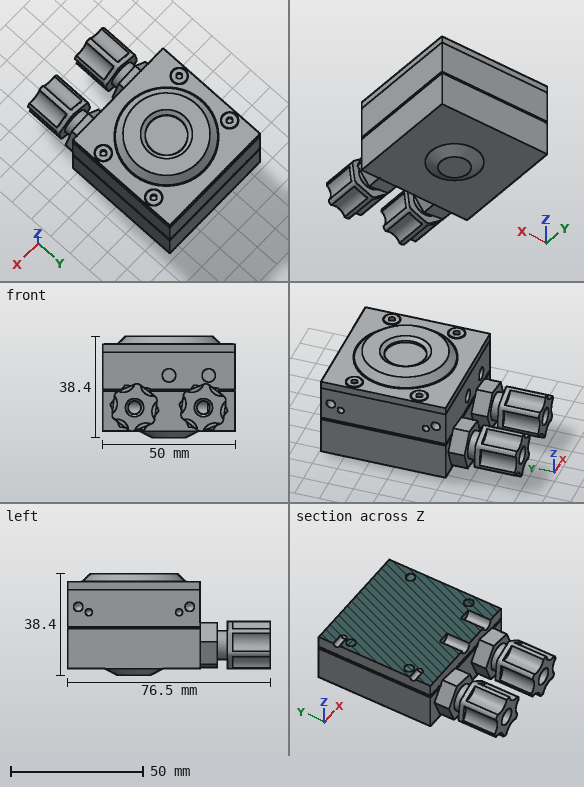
import cadquery as cq
import math

overall_length = 76.5
block_side = 50.0
lower_height = 15.75
upper_height = 14.1
plate_thickness = 3.0
upper_base = lower_height
plate_base = upper_base + upper_height
plate_top = plate_base + plate_thickness
front_face = -block_side / 2
left_face = -block_side / 2

parting_chamfer = 0.45
parting_neck_height = 0.2
nose_base_radius = 11.1
nose_tip_radius = 6.3
nose_height = 2.5
channel_radius = 2.5
channel_left_end = -15.45
channel_length = 30.1

port_radius = 2.5
port_depth = 9.95
port_places = (0, 15.0)
port_height = 21.0
large_side_hole_radius = 1.75
large_side_hole_depth = 6.9
large_side_hole_offset = 21.0
large_side_hole_height = 23.3
small_side_hole_radius = 1.3
small_side_hole_depth = 5.35
small_side_hole_offset = 17.05
small_side_hole_height = 21.3
drill_point_angle = 118.0

dome_height = 3.05
dome_step_radius = 19.7
dome_step_height = 0.2
dome_base_radius = 19.35
dome_top_radius = 16.45
dish_rim_radius = 9.8
dish_wall_radius = 8.0
dish_cone_depth = 1.1
dish_depth = 1.9

screw_x = 21.0
screw_y = 13.0
screw_places = [(sx * screw_x, sy * screw_y) for sx in (-1, 1) for sy in (-1, 1)]
head_radius = 3.1
head_recess_chamfer = 0.2
head_protrusion = 0.2
head_sink = 2.0
head_seat = plate_top - head_sink
shank_radius = 1.75
shank_length = 9.95
socket_radius = 1.2
socket_depth = 1.5

fitting_spacing = 26.0
fitting_height = 8.9
fitting_places = (-fitting_spacing / 2, fitting_spacing / 2)
nut_sides = 6
nut_across_flats = 16.0
nut_length = 6.5
neck_radius = 5.5
neck_length = 3.75
fitting_length = overall_length - block_side
knob_start = nut_length + neck_length
knob_length = fitting_length - knob_start
knob_sides = 6
knob_apothem = 8.1
knob_corner_radius = 2.2
knob_collar_length = 2.1
flute_depth = 1.45
fitting_turn = 22.5
nut_turn = 180 / nut_sides
bore_radius = 2.45
hose_bore_radius = 3.45
hose_bore_depth = 19.1


def drill(radius, depth, start, direction):
    """Cutting tool: a round hole with a conical drill point beyond its full-width depth."""
    point_length = radius / math.tan(math.radians(drill_point_angle / 2))
    start = cq.Vector(*start)
    direction = cq.Vector(*direction)
    shaft = cq.Solid.makeCylinder(radius, depth, start, direction)
    point = cq.Solid.makeCone(radius, 0, point_length, start + direction * depth, direction)
    return shaft.fuse(point)


def square_slab(base, height, side=block_side):
    return cq.Workplane("XY", origin=(0, 0, base)).rect(side, side).extrude(height)


def make_lower_block():
    neck_base = lower_height - parting_neck_height
    neck_side = block_side - 2 * parting_chamfer
    block = square_slab(0, neck_base).faces(">Z").chamfer(parting_chamfer)
    block = block.union(square_slab(neck_base, parting_neck_height, neck_side))
    nose = cq.Solid.makeCone(
        nose_tip_radius, nose_base_radius, nose_height, cq.Vector(0, 0, -nose_height)
    )
    block = block.union(cq.Workplane(nose))
    channel_start = (channel_left_end, 0, fitting_height)
    block = block.cut(drill(channel_radius, channel_length, channel_start, (1, 0, 0)))
    inlet_depth = block_side / 2
    for x in fitting_places:
        inlet = cq.Solid.makeCylinder(
            bore_radius, inlet_depth, cq.Vector(x, front_face, fitting_height), cq.Vector(0, 1, 0)
        )
        block = block.cut(inlet)
    return block


def make_upper_block():
    block = square_slab(upper_base, upper_height)
    for x in port_places:
        port = cq.Solid.makeCylinder(
            port_radius, port_depth, cq.Vector(x, front_face, port_height), cq.Vector(0, 1, 0)
        )
        block = block.cut(port)
    for side in (-1, 1):
        large_start = (left_face, side * large_side_hole_offset, large_side_hole_height)
        small_start = (left_face, side * small_side_hole_offset, small_side_hole_height)
        block = block.cut(drill(large_side_hole_radius, large_side_hole_depth, large_start, (1, 0, 0)))
        block = block.cut(drill(small_side_hole_radius, small_side_hole_depth, small_start, (1, 0, 0)))
    screw_holes = (
        cq.Workplane("XY", origin=(0, 0, head_seat))
        .pushPoints(screw_places)
        .circle(shank_radius)
        .extrude(-shank_length)
    )
    return block.cut(screw_holes)


def make_cover_plate():
    plate = square_slab(plate_base, plate_thickness)
    dome_top = plate_top + dome_height
    dome = (
        cq.Workplane("XZ")
        .moveTo(0, plate_top)
        .lineTo(dome_step_radius, plate_top)
        .lineTo(dome_step_radius, plate_top + dome_step_height)
        .lineTo(dome_base_radius, plate_top + dome_step_height)
        .lineTo(dome_top_radius, dome_top)
        .lineTo(dish_rim_radius, dome_top)
        .lineTo(dish_wall_radius, dome_top - dish_cone_depth)
        .lineTo(dish_wall_radius, dome_top - dish_depth)
        .lineTo(0, dome_top - dish_depth)
        .close()
        .revolve(360, (0, 0, 0), (0, 1, 0))
    )
    plate = plate.union(dome)
    recess_rims = (
        cq.Workplane("XY", origin=(0, 0, plate_top))
        .pushPoints(screw_places)
        .circle(head_radius + head_recess_chamfer)
        .extrude(-head_recess_chamfer, taper=45)
    )
    head_recesses = (
        cq.Workplane("XY", origin=(0, 0, head_seat))
        .pushPoints(screw_places)
        .circle(head_radius)
        .extrude(head_sink)
        .union(recess_rims)
    )
    shank_holes = (
        cq.Workplane("XY", origin=(0, 0, plate_base))
        .pushPoints(screw_places)
        .circle(shank_radius)
        .extrude(plate_thickness)
    )
    return plate.cut(head_recesses).cut(shank_holes)


def make_screw(x, y):
    seat = cq.Workplane("XY", origin=(x, y, head_seat))
    head = seat.circle(head_radius).extrude(head_sink + head_protrusion)
    shank = seat.circle(shank_radius).extrude(-shank_length)
    socket_plane = cq.Workplane("XY", origin=(x, y, plate_top + head_protrusion))
    socket = socket_plane.circle(socket_radius).extrude(-socket_depth)
    return head.union(shank).cut(socket)


def make_knob():
    """Six-lobed grip along +Z from the neck, its fluting stopping short of the collar."""
    corner_circle = 2 * knob_apothem / math.cos(math.pi / knob_sides)
    start = cq.Workplane("XY", origin=(0, 0, knob_start))
    knob = start.polygon(knob_sides, corner_circle).extrude(knob_length)
    knob = knob.edges("|Z").fillet(knob_corner_radius)

    half_angle = math.pi / knob_sides
    half_flat = (knob_apothem - knob_corner_radius) * math.tan(half_angle)
    flute_radius = (half_flat**2 + flute_depth**2) / (2 * flute_depth)
    flute_center = knob_apothem - flute_depth + flute_radius
    flutes = (
        cq.Workplane("XY", origin=(0, 0, knob_start + knob_collar_length))
        .polarArray(flute_center, math.degrees(half_angle), 360, knob_sides)
        .circle(flute_radius)
        .extrude(knob_length)
    )
    return knob.cut(flutes)


def make_fitting(x):
    """Nut, neck and knob built along +Z from the nut's seat, then laid over toward -Y."""
    nut = (
        cq.Workplane("XY")
        .polygon(nut_sides, nut_across_flats / math.cos(math.pi / nut_sides))
        .extrude(nut_length)
        .rotate((0, 0, 0), (0, 0, 1), nut_turn)
    )
    neck = cq.Workplane("XY").circle(neck_radius).extrude(knob_start)
    fitting = nut.union(neck).union(make_knob())

    hose_bore_floor = fitting_length - hose_bore_depth
    cone_length = hose_bore_radius - bore_radius
    bore = (
        cq.Workplane("XZ")
        .lineTo(bore_radius, 0)
        .lineTo(bore_radius, hose_bore_floor - cone_length)
        .lineTo(hose_bore_radius, hose_bore_floor)
        .lineTo(hose_bore_radius, fitting_length)
        .lineTo(0, fitting_length)
        .close()
        .revolve(360, (0, 0, 0), (0, 1, 0))
    )
    return (
        fitting.cut(bore)
        .rotate((0, 0, 0), (0, 0, 1), fitting_turn)
        .rotate((0, 0, 0), (1, 0, 0), 90)
        .translate((x, front_face, fitting_height))
    )


lower_block = make_lower_block()
upper_block = make_upper_block()
cover_plate = make_cover_plate()
screws = [make_screw(x, y) for x, y in screw_places]
fittings = [make_fitting(x) for x in fitting_places]

result = cq.Compound.makeCompound(
    [lower_block.val(), upper_block.val(), cover_plate.val()]
    + [screw.val() for screw in screws]
    + [fitting.val() for fitting in fittings]
)